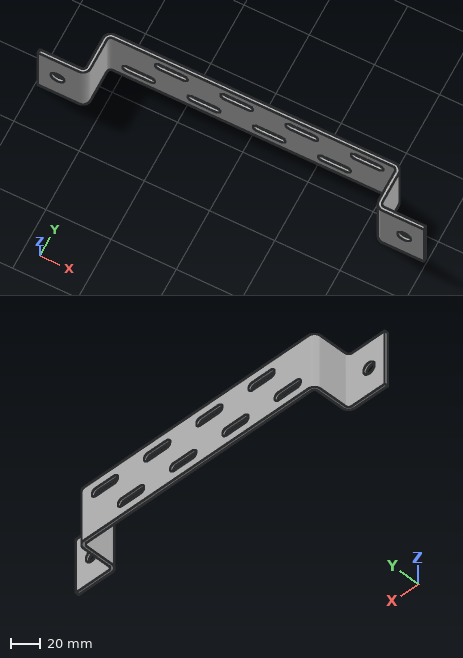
import cadquery as cq

length = 296.0
depth = 36.0
height = 50.0
thickness = 3.0
inner_radius = 3.0
web_width = 226.7

hole_diameter = 10.5
hole_edge_distance = 15.0

slot_length = 25.0
slot_width = 7.0
slot_pitch = height
slots_per_row = 4
slot_row_offset = 13.0

outer_radius = inner_radius + thickness
half_length = length / 2
half_web = web_width / 2
half_inside = half_web - thickness
hole_x = half_length - hole_edge_distance
row_shift = slot_pitch / 4


def plate_block(x_start, x_end, y_start, y_end):
    """Full-height block between two corners in plan."""
    return (
        cq.Workplane("XY", origin=(0, 0, -height / 2))
        .moveTo((x_start + x_end) / 2, (y_start + y_end) / 2)
        .rect(x_end - x_start, y_end - y_start)
        .extrude(height)
    )


def bent_strip():
    """Hat section: web at the back, two feet at the front, rounded bends."""
    hat = plate_block(-half_web, half_web, 0, depth).edges("|Z and >Y").fillet(outer_radius)
    feet = plate_block(-half_length, half_length, 0, thickness)
    body = hat.union(feet)

    foot_corner = cq.selectors.BoxSelector(
        (-half_web - thickness / 2, thickness / 2, -height),
        (half_web + thickness / 2, thickness * 1.5, height),
    )
    body = body.edges("|Z").edges(foot_corner).fillet(inner_radius)

    cavity = (
        plate_block(-half_inside, half_inside, 0, depth - thickness)
        .edges("|Z and >Y")
        .fillet(inner_radius)
    )
    mouth_corner = cq.selectors.BoxSelector(
        (-half_web, -thickness / 2, -height),
        (half_web, thickness / 2, height),
    )
    return body.cut(cavity).edges("|Z").edges(mouth_corner).fillet(outer_radius)


def foot_holes():
    """One round hole through each foot."""
    return (
        cq.Workplane("XZ")
        .pushPoints([(-hole_x, 0), (hole_x, 0)])
        .circle(hole_diameter / 2)
        .extrude(depth, both=True)
    )


def web_slots():
    """Two staggered rows of slots; the upper row is shifted half a pitch to +X."""
    centres = []
    for side in (-1, 1):
        for index in range(slots_per_row):
            x = (index - (slots_per_row - 1) / 2) * slot_pitch + side * row_shift
            centres.append((x, side * slot_row_offset))
    return (
        cq.Workplane("XZ")
        .pushPoints(centres)
        .slot2D(slot_length, slot_width)
        .extrude(-2 * depth)
    )


result = bent_strip().cut(foot_holes()).cut(web_slots())